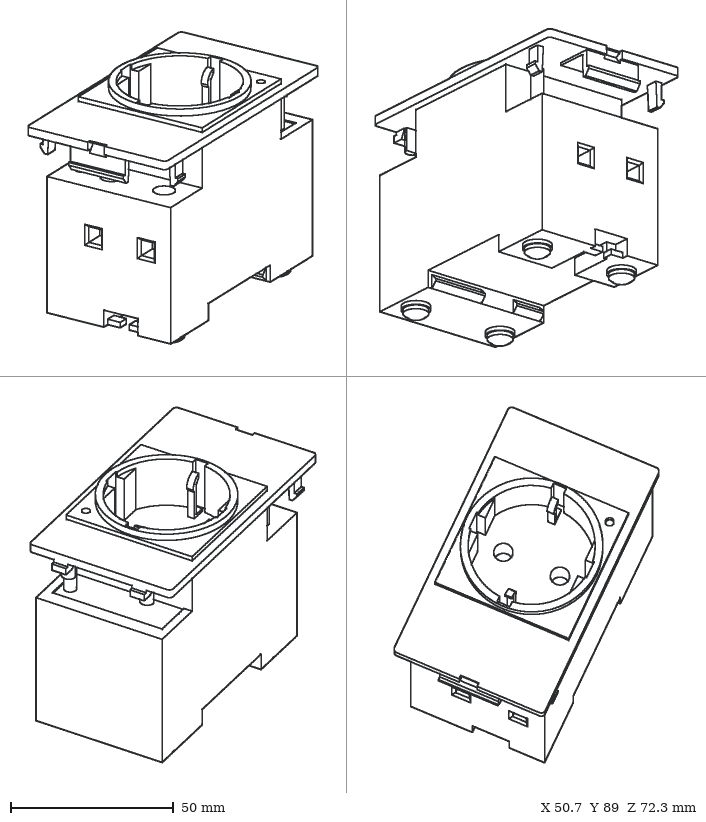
import cadquery as cq
import math


HOUSING_WIDTH = 45.0
HOUSING_LENGTH = 81.2
SHOULDER_HEIGHT = 45.6
TOWER_SIDE = HOUSING_WIDTH
TOWER_TOP = 65.7
HALF_LENGTH = HOUSING_LENGTH / 2
HALF_TOWER = TOWER_SIDE / 2

RING_DIAMETER = 43.8
RING_TOP = 68.0
BOWL_RADIUS = 19.5
BOWL_DEPTH = 17.1
BOWL_FLOOR = RING_TOP - BOWL_DEPTH
KEYWAY_WIDTH = 4.3
KEYWAY_REACH = 21.2
GUIDE_REACH = 16.8
GUIDE_DROP = 1.8
GUIDE_SLOT_WIDTH = 5.7
GUIDE_SLOT_REACH = 19.8
PIN_HOLE_DIAMETER = 5.9
PIN_PITCH = 19.05
PIN_HOLE_DEPTH = 8.9
INDICATOR_DIAMETER = 2.7
INDICATOR_DEPTH = 1.8
INDICATOR_X = 18.4
INDICATOR_Y = 17.4

CONTACT_WIDTH = 2.3
CONTACT_NOSE = 14.1
CONTACT_FACE = 14.7
CONTACT_THICKNESS = 1.25
CONTACT_TOP_END = 17.5
CONTACT_BASE_END = 19.7
CONTACT_STEM_TOP = 60.7
CONTACT_NOSE_HEIGHT = 61.8
CONTACT_TOP = 66.0
CONTACT_STEM_BACK_TOP = 62.8
CONTACT_BULGE = 0.7
CONTACT_BASE_HEIGHT = 0.9

WINDOW_WIDTH = 6.4
WINDOW_HEIGHT = 7.0
WINDOW_PITCH = 19.1
WINDOW_CENTRE_X = 4.1
WINDOW_CENTRE_Z = 29.3
WINDOW_CHAMFER = 0.9
WINDOW_DEPTH = 7.1
TERMINAL_HOLE_DIAMETER = 6.9
TERMINAL_HOLE_DEPTH = 7.1

CHANNEL_FRONT = -18.9
CHANNEL_BACK = 16.4
CHANNEL_HEIGHT = 5.7
BARB_REACH = 1.9
BARB_TOP = 4.6
BARB_TIP_LOW = 2.0
BARB_TIP_HIGH = 2.8
BARB_END_INSET = 1.5

SLOT_LEFT = -1.8
SLOT_RIGHT = 10.6
SLOT_REAR_RIGHT = 7.1
LUG_WIDTH = 4.5
LUG_HEIGHT = 1.9
LUG_SETBACK = 2.2
LUG_DEPTH = 3.6

RECESS_WIDTH = 39.2
RECESS_END = 35.7
RECESS_DEPTH = 0.45

SCREW_X = 16.4
SCREW_Y = 30.35
STUD_DIAMETER = 4.0
STUD_TOP = 58.8
STUD_CHAMFER = 0.45
HEAD_FLANGE_DIAMETER = 9.1
HEAD_FLANGE_HEIGHT = 1.25
HEAD_DIAMETER = 8.0
HEAD_RIM_HEIGHT = 2.5
HEAD_HEIGHT = 4.3

PLATE_WIDTH = 50.7
PLATE_BACK = 40.05
PLATE_FRONT = -47.8
PLATE_BOTTOM = 61.3
PLATE_TOP = 64.2
PLATE_CORNER = 1.3

TAB_BOTTOM = 52.9
TAB_THICKNESS = 2.2
TAB_TAPER = 0.45
TAB_BARB = 1.0
TAB_BARB_TOP = 55.8
TAB_BARB_EDGE = 54.8
TAB_TIP_INSET = 0.6
FRONT_TAB_FACE = 46.8
FRONT_TAB_WIDTH = 19.9
SIDE_TAB_FACE = 24.1
SIDE_TAB_WIDTH = 4.3
SIDE_TAB_Y = -38.3
PAD_BACK = -33.9
PAD_HEIGHT = 0.9

NOTCH_WIDTH = 6.05
NOTCH_EDGE = -46.55
NOTCH_LIP_BOTTOM = 63.6
NOTCH_UNDERCUT = 1.9
NOTCH_RAMP_TOP = 62.75
NOTCH_BOTTOM = 60.2

HOOK_PITCH = 27.95
HOOK_WIDTH = 5.1
HOOK_END = 41.2
HOOK_TOP = 60.4
HOOK_BOTTOM = 58.1
HOOK_ROOT_TOP = 35.8
HOOK_ROOT_BOTTOM = 37.4
POST_RADIUS = 2.3
POST_FLAT = 35.15
POST_BOTTOM = 53.7


def box(x0, x1, y0, y1, z0, z1):
    """Box between two opposite corners."""
    return cq.Workplane("XY").box(x1 - x0, y1 - y0, z1 - z0, centered=False).translate((x0, y0, z0))


def cylinder(x, y, z0, z1, diameter):
    """Upright cylinder between two heights."""
    return cq.Workplane("XY", origin=(x, y, z0)).circle(diameter / 2).extrude(z1 - z0)


def along_x(profile, width, x=0.0):
    """Closed (y, z) profile extruded along X, centred on x."""
    return cq.Workplane("YZ", origin=(x, 0, 0)).polyline(profile).close().extrude(width / 2, both=True)


def socket_bowl():
    """Space inside the socket: round bowl with two keyways, less the two side guides."""
    bowl = cylinder(0, 0, BOWL_FLOOR, RING_TOP, 2 * BOWL_RADIUS)
    guide_top = RING_TOP - GUIDE_DROP
    for side in (-1, 1):
        guide = box(GUIDE_REACH, RING_DIAMETER, -RING_DIAMETER, RING_DIAMETER, BOWL_FLOOR, guide_top)
        bowl = bowl.cut(guide if side > 0 else guide.mirror("YZ"))
    half_slot = GUIDE_SLOT_WIDTH / 2
    half_keyway = KEYWAY_WIDTH / 2
    bowl = bowl.union(box(-GUIDE_SLOT_REACH, GUIDE_SLOT_REACH, -half_slot, half_slot, BOWL_FLOOR, RING_TOP))
    return bowl.union(box(-half_keyway, half_keyway, -KEYWAY_REACH, KEYWAY_REACH, BOWL_FLOOR, RING_TOP))


def earth_contact():
    """Rear earth contact: upright strip bent back in a rounded top, standing on a low base."""
    stem_back = CONTACT_FACE + CONTACT_THICKNESS
    middle_y = (CONTACT_NOSE + CONTACT_TOP_END) / 2 - CONTACT_BULGE
    middle_z = (CONTACT_NOSE_HEIGHT + CONTACT_TOP) / 2 + CONTACT_BULGE
    strip = (
        cq.Workplane("YZ")
        .moveTo(CONTACT_FACE, BOWL_FLOOR)
        .lineTo(CONTACT_FACE, CONTACT_STEM_TOP)
        .lineTo(CONTACT_NOSE, CONTACT_NOSE_HEIGHT)
        .threePointArc((middle_y, middle_z), (CONTACT_TOP_END, CONTACT_TOP))
        .lineTo(CONTACT_TOP_END, CONTACT_TOP - CONTACT_THICKNESS)
        .lineTo(stem_back, CONTACT_STEM_BACK_TOP)
        .lineTo(stem_back, BOWL_FLOOR)
        .close()
        .extrude(CONTACT_WIDTH / 2, both=True)
    )
    half = CONTACT_WIDTH / 2
    base_top = BOWL_FLOOR + CONTACT_BASE_HEIGHT
    return strip.union(box(-half, half, CONTACT_FACE, CONTACT_BASE_END, BOWL_FLOOR, base_top))


def terminal_window(x):
    """Rectangular opening in the front face with a bevelled mouth."""
    face = cq.Workplane("XZ", origin=(x, -HALF_LENGTH, WINDOW_CENTRE_Z))
    inner_width = WINDOW_WIDTH - 2 * WINDOW_CHAMFER
    inner_height = WINDOW_HEIGHT - 2 * WINDOW_CHAMFER
    shaft = face.rect(inner_width, inner_height).extrude(-WINDOW_DEPTH)
    mouth = (
        face.rect(WINDOW_WIDTH, WINDOW_HEIGHT)
        .workplane(offset=-WINDOW_CHAMFER)
        .rect(inner_width, inner_height)
        .loft(ruled=True)
    )
    return shaft.union(mouth)


def rail_barb():
    """Pointed ridge along the rear wall of the rail channel, interrupted opposite the latch slot."""
    tip = CHANNEL_BACK - BARB_REACH
    profile = [
        (CHANNEL_BACK, 0),
        (tip, BARB_TIP_LOW),
        (tip, BARB_TIP_HIGH),
        (CHANNEL_BACK, BARB_TOP),
    ]
    length = HOUSING_WIDTH - 2 * BARB_END_INSET
    gap = box(SLOT_LEFT, SLOT_RIGHT, tip, CHANNEL_BACK, 0, CHANNEL_HEIGHT)
    return along_x(profile, length).cut(gap)


def latch_slot():
    """Slot through the front foot, narrower behind two lugs that stay standing inside it."""
    lug_front = -HALF_LENGTH + LUG_SETBACK
    lug_back = lug_front + LUG_DEPTH
    slot = box(SLOT_LEFT, SLOT_RIGHT, -HALF_LENGTH, lug_back, 0, CHANNEL_HEIGHT)
    slot = slot.union(box(SLOT_LEFT, SLOT_REAR_RIGHT, lug_back, CHANNEL_FRONT, 0, CHANNEL_HEIGHT))
    for lug_left in (SLOT_LEFT, SLOT_RIGHT - LUG_WIDTH):
        slot = slot.cut(box(lug_left, lug_left + LUG_WIDTH, lug_front, lug_back, 0, LUG_HEIGHT))
    return slot


def stud(x, y):
    """Screw end standing on a shoulder."""
    recess_floor = SHOULDER_HEIGHT - RECESS_DEPTH
    return cylinder(x, y, recess_floor, STUD_TOP, STUD_DIAMETER).faces(">Z").chamfer(STUD_CHAMFER)


def screw_head(x, y):
    """Flanged head with a domed end below the housing."""
    head_radius = HEAD_DIAMETER / 2
    flange_radius = HEAD_FLANGE_DIAMETER / 2
    dome_height = HEAD_HEIGHT - HEAD_RIM_HEIGHT
    dome_radius = (head_radius**2 + dome_height**2) / (2 * dome_height)
    half_angle = math.asin(head_radius / dome_radius) / 2
    dome_middle = (
        dome_radius * math.sin(half_angle),
        dome_radius * (1 - math.cos(half_angle)) - HEAD_HEIGHT,
    )
    return (
        cq.Workplane("XZ")
        .moveTo(0, 0)
        .lineTo(flange_radius, 0)
        .lineTo(flange_radius, -HEAD_FLANGE_HEIGHT)
        .lineTo(head_radius, -HEAD_FLANGE_HEIGHT)
        .lineTo(head_radius, -HEAD_RIM_HEIGHT)
        .threePointArc(dome_middle, (0, -HEAD_HEIGHT))
        .close()
        .revolve(360, (0, 0, 0), (0, 1, 0))
        .translate((x, y, 0))
    )


def make_housing():
    """Socket housing with its screws and rail foot."""
    half_width = HOUSING_WIDTH / 2
    half_recess = RECESS_WIDTH / 2
    body = box(-half_width, half_width, -HALF_LENGTH, HALF_LENGTH, 0, SHOULDER_HEIGHT)
    body = body.union(box(-HALF_TOWER, HALF_TOWER, -HALF_TOWER, HALF_TOWER, 0, TOWER_TOP))
    body = body.union(cylinder(0, 0, BOWL_FLOOR, RING_TOP, RING_DIAMETER))

    body = body.cut(socket_bowl())
    for x in (-PIN_PITCH / 2, PIN_PITCH / 2):
        body = body.cut(cylinder(x, 0, BOWL_FLOOR - PIN_HOLE_DEPTH, BOWL_FLOOR, PIN_HOLE_DIAMETER))
    body = body.cut(
        cylinder(INDICATOR_X, INDICATOR_Y, TOWER_TOP - INDICATOR_DEPTH, TOWER_TOP, INDICATOR_DIAMETER)
    )
    body = body.union(earth_contact()).union(earth_contact().mirror("XZ"))

    for side in (-1, 1):
        x = WINDOW_CENTRE_X + side * WINDOW_PITCH / 2
        hole_floor = SHOULDER_HEIGHT - TERMINAL_HOLE_DEPTH
        body = body.cut(terminal_window(x))
        body = body.cut(cylinder(x, -SCREW_Y, hole_floor, SHOULDER_HEIGHT, TERMINAL_HOLE_DIAMETER))

    body = body.cut(box(-half_width, half_width, CHANNEL_FRONT, CHANNEL_BACK, 0, CHANNEL_HEIGHT))
    body = body.union(rail_barb())
    body = body.cut(latch_slot())

    recess_floor = SHOULDER_HEIGHT - RECESS_DEPTH
    body = body.cut(box(-half_recess, half_recess, HALF_TOWER, RECESS_END, recess_floor, SHOULDER_HEIGHT))
    for side in (-1, 1):
        body = body.union(stud(side * SCREW_X, side * SCREW_Y))
    for x in (-SCREW_X, SCREW_X):
        for y in (-SCREW_Y, SCREW_Y):
            body = body.union(screw_head(x, y))
    return body


def snap_tab(face, width, x=0.0):
    """Tab hanging from the plate with its barb towards -Y; face is its distance from the XZ plane."""
    profile = [
        (-face, PLATE_BOTTOM),
        (-face, TAB_BARB_TOP),
        (-face - TAB_BARB, TAB_BARB_TOP),
        (-face - TAB_BARB, TAB_BARB_EDGE),
        (-face + TAB_TIP_INSET, TAB_BOTTOM),
        (-face + TAB_THICKNESS - TAB_TAPER, TAB_BOTTOM),
        (-face + TAB_THICKNESS, PLATE_BOTTOM),
    ]
    return along_x(profile, width, x)


def release_notch():
    """Notch in the front edge with an undercut lip above an outward ramp."""
    clear_of_plate = PLATE_FRONT - PLATE_CORNER
    profile = [
        (clear_of_plate, PLATE_TOP),
        (NOTCH_EDGE, PLATE_TOP),
        (NOTCH_EDGE, NOTCH_LIP_BOTTOM),
        (NOTCH_EDGE + NOTCH_UNDERCUT, NOTCH_RAMP_TOP),
        (-FRONT_TAB_FACE, NOTCH_BOTTOM),
        (clear_of_plate, NOTCH_BOTTOM),
    ]
    return along_x(profile, NOTCH_WIDTH)


def rear_hook(x):
    """Hook reaching behind the plate, with a half-round post hanging below it."""
    profile = [
        (HOOK_ROOT_TOP, PLATE_BOTTOM),
        (PLATE_BACK, PLATE_BOTTOM),
        (PLATE_BACK, HOOK_TOP),
        (HOOK_END, HOOK_TOP),
        (HOOK_END, HOOK_BOTTOM),
        (HOOK_ROOT_BOTTOM, HOOK_BOTTOM),
    ]
    post = cylinder(x, POST_FLAT, POST_BOTTOM, PLATE_BOTTOM, 2 * POST_RADIUS)
    front_half = box(
        x - POST_RADIUS, x + POST_RADIUS, POST_FLAT - POST_RADIUS, POST_FLAT, POST_BOTTOM, PLATE_BOTTOM
    )
    return along_x(profile, HOOK_WIDTH, x).union(post.cut(front_half))


def make_cover_plate():
    """Cover plate that frames the tower, with tabs and hooks underneath."""
    half_width = PLATE_WIDTH / 2
    half_pad = FRONT_TAB_WIDTH / 2
    plate = box(-half_width, half_width, PLATE_FRONT, PLATE_BACK, PLATE_BOTTOM, PLATE_TOP)
    plate = plate.edges("|Z").fillet(PLATE_CORNER)
    plate = plate.cut(box(-HALF_TOWER, HALF_TOWER, -HALF_TOWER, HALF_TOWER, PLATE_BOTTOM, PLATE_TOP))

    plate = plate.union(snap_tab(FRONT_TAB_FACE, FRONT_TAB_WIDTH))
    pad_bottom = PLATE_BOTTOM - PAD_HEIGHT
    plate = plate.union(box(-half_pad, half_pad, -FRONT_TAB_FACE, PAD_BACK, pad_bottom, PLATE_BOTTOM))
    plate = plate.cut(release_notch())

    left_tab = snap_tab(SIDE_TAB_FACE, SIDE_TAB_WIDTH, -SIDE_TAB_Y).rotate((0, 0, 0), (0, 0, 1), -90)
    plate = plate.union(left_tab).union(left_tab.mirror("YZ"))

    for x in (-HOOK_PITCH / 2, HOOK_PITCH / 2):
        plate = plate.union(rear_hook(x))
    return plate


housing = make_housing()
cover_plate = make_cover_plate()
result = cq.Compound.makeCompound([housing.val(), cover_plate.val()])